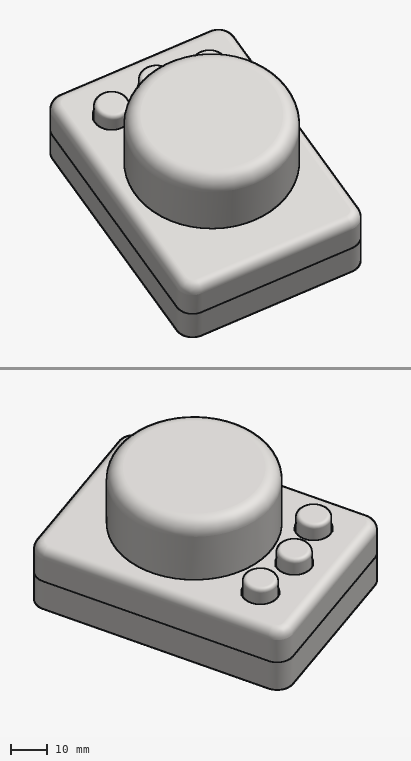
import cadquery as cq

LENGTH = 80.0
WIDTH = 57.0
CORNER_RADIUS = 5.0
BASE_HEIGHT = 10.0
COVER_HEIGHT = 11.0
COVER_EDGE_RADIUS = 3.0
COVER_TOP = BASE_HEIGHT + COVER_HEIGHT

KNOB_X = 3.5
KNOB_DIAMETER = 48.0
KNOB_CAP_HEIGHT = 20.0
KNOB_EDGE_RADIUS = 4.5
NECK_DIAMETER = 41.0
NECK_HEIGHT = 1.6

BUTTON_DIAMETER = 9.8
BUTTON_HOLE_DIAMETER = 10.5
BUTTON_PROTRUSION = 5.0
BUTTON_EDGE_RADIUS = 1.2
BUTTON_SPACING = 15.3
OUTER_BUTTON_X = -25.4
MIDDLE_BUTTON_X = -27.6
BUTTON_CENTERS = [
    (OUTER_BUTTON_X, BUTTON_SPACING),
    (MIDDLE_BUTTON_X, 0),
    (OUTER_BUTTON_X, -BUTTON_SPACING),
]


def housing_block(bottom, height):
    """Rectangular block with rounded vertical corners."""
    block = cq.Workplane("XY").workplane(offset=bottom).rect(LENGTH, WIDTH).extrude(height)
    return block.edges("|Z").fillet(CORNER_RADIUS)


def make_base():
    return housing_block(0, BASE_HEIGHT)


def make_cover():
    """Upper housing with a rounded top rim and a clearance hole for each button."""
    cover = housing_block(BASE_HEIGHT, COVER_HEIGHT)
    cover = cover.faces(">Z").edges().fillet(COVER_EDGE_RADIUS)
    holes = (
        cq.Workplane("XY")
        .workplane(offset=BASE_HEIGHT)
        .pushPoints(BUTTON_CENTERS)
        .circle(BUTTON_HOLE_DIAMETER / 2)
        .extrude(COVER_HEIGHT)
    )
    return cover.cut(holes)


def make_knob():
    """Round cap with a rounded top edge, on a neck that rests on the cover."""
    cap = (
        cq.Workplane("XY")
        .workplane(offset=COVER_TOP + NECK_HEIGHT)
        .center(KNOB_X, 0)
        .circle(KNOB_DIAMETER / 2)
        .extrude(KNOB_CAP_HEIGHT)
        .faces(">Z")
        .edges()
        .fillet(KNOB_EDGE_RADIUS)
    )
    neck = (
        cq.Workplane("XY")
        .workplane(offset=COVER_TOP)
        .center(KNOB_X, 0)
        .circle(NECK_DIAMETER / 2)
        .extrude(NECK_HEIGHT)
    )
    return cap.union(neck)


def make_button(x, y):
    """Round button that stands on the base and rises through the cover."""
    return (
        cq.Workplane("XY")
        .workplane(offset=BASE_HEIGHT)
        .center(x, y)
        .circle(BUTTON_DIAMETER / 2)
        .extrude(COVER_HEIGHT + BUTTON_PROTRUSION)
        .faces(">Z")
        .edges()
        .fillet(BUTTON_EDGE_RADIUS)
    )


base = make_base()
cover = make_cover()
knob = make_knob()
buttons = [make_button(x, y) for x, y in BUTTON_CENTERS]

result = cq.Compound.makeCompound(
    [base.val(), cover.val(), knob.val(), *[button.val() for button in buttons]]
)